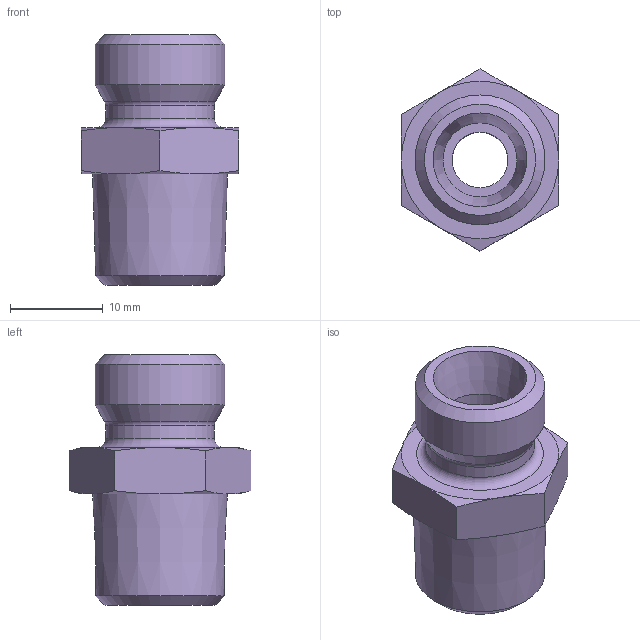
import cadquery as cq
import math

total_height = 27.0
hex_bottom = 12.0
hex_thickness = 5.0
hex_top = hex_bottom + hex_thickness

hex_across_flats = 17.0
hex_across_corners = hex_across_flats / math.cos(math.radians(30))
hex_bevel_angle = math.radians(15)

stub_taper = 1 / 16
stub_base_diameter = 13.86
stub_chamfer = 1.0

head_diameter = 14.0
head_chamfer = 1.0
head_bottom = 21.6
groove_diameter = 11.7
groove_radius = 1.0
groove_cone_angle = math.radians(30)

bore_diameter = 6.0
socket_diameter = 8.0
socket_depth = 7.0
mouth_diameter = 10.1
mouth_half_angle = math.radians(12)


def make_hex_collar():
    """Hexagon with corners on the Y axis, its corners bevelled at both ends."""
    hexagon = (
        cq.Workplane("XY")
        .workplane(offset=hex_bottom)
        .polygon(6, hex_across_corners)
        .extrude(hex_thickness)
        .rotate((0, 0, 0), (0, 0, 1), 30)
    )
    inner_radius = hex_across_flats / 2
    outer_radius = hex_across_corners
    bevel_drop = (outer_radius - inner_radius) * math.tan(hex_bevel_angle)
    bevel_envelope = (
        cq.Workplane("XZ")
        .moveTo(0, hex_bottom)
        .lineTo(inner_radius, hex_bottom)
        .lineTo(outer_radius, hex_bottom + bevel_drop)
        .lineTo(outer_radius, hex_top - bevel_drop)
        .lineTo(inner_radius, hex_top)
        .lineTo(0, hex_top)
        .close()
        .revolve(360, (0, 0, 0), (0, 1, 0))
    )
    return hexagon.intersect(bevel_envelope)


def make_lower_stub():
    """Tapered stub below the collar, chamfered at its free end."""
    base_radius = stub_base_diameter / 2
    top_radius = base_radius + (hex_bottom - stub_chamfer) * stub_taper / 2
    return (
        cq.Workplane("XZ")
        .lineTo(base_radius - stub_chamfer, 0)
        .lineTo(base_radius, stub_chamfer)
        .lineTo(top_radius, hex_bottom)
        .lineTo(0, hex_bottom)
        .close()
        .revolve(360, (0, 0, 0), (0, 1, 0))
    )


def make_upper_stub():
    """Chamfered head above a groove that is rounded into the cone and the collar."""
    head_radius = head_diameter / 2
    neck_radius = groove_diameter / 2
    arc_centre_x = neck_radius + groove_radius

    cone_start_x = arc_centre_x - groove_radius * math.cos(groove_cone_angle)
    cone_start_z = head_bottom - (head_radius - cone_start_x) / math.tan(groove_cone_angle)
    upper_centre_z = cone_start_z - groove_radius * math.sin(groove_cone_angle)
    upper_mid = (
        arc_centre_x - groove_radius * math.cos(groove_cone_angle / 2),
        upper_centre_z + groove_radius * math.sin(groove_cone_angle / 2),
    )

    lower_centre_z = hex_top + groove_radius
    lower_mid = (
        arc_centre_x - groove_radius * math.cos(math.pi / 4),
        lower_centre_z - groove_radius * math.sin(math.pi / 4),
    )
    return (
        cq.Workplane("XZ")
        .moveTo(0, hex_bottom)
        .lineTo(arc_centre_x, hex_bottom)
        .lineTo(arc_centre_x, hex_top)
        .threePointArc(lower_mid, (neck_radius, lower_centre_z))
        .lineTo(neck_radius, upper_centre_z)
        .threePointArc(upper_mid, (cone_start_x, cone_start_z))
        .lineTo(head_radius, head_bottom)
        .lineTo(head_radius, total_height - head_chamfer)
        .lineTo(head_radius - head_chamfer, total_height)
        .lineTo(0, total_height)
        .close()
        .revolve(360, (0, 0, 0), (0, 1, 0))
    )


def make_bore():
    """Through bore that opens upward into a socket and a conical mouth."""
    bore_radius = bore_diameter / 2
    socket_radius = socket_diameter / 2
    mouth_radius = mouth_diameter / 2
    socket_floor = total_height - socket_depth
    cone_bottom = total_height - (mouth_radius - socket_radius) / math.tan(mouth_half_angle)
    return (
        cq.Workplane("XZ")
        .lineTo(bore_radius, 0)
        .lineTo(bore_radius, socket_floor)
        .lineTo(socket_radius, socket_floor)
        .lineTo(socket_radius, cone_bottom)
        .lineTo(mouth_radius, total_height)
        .lineTo(0, total_height)
        .close()
        .revolve(360, (0, 0, 0), (0, 1, 0))
    )


body = make_hex_collar().union(make_lower_stub()).union(make_upper_stub())
result = body.cut(make_bore())